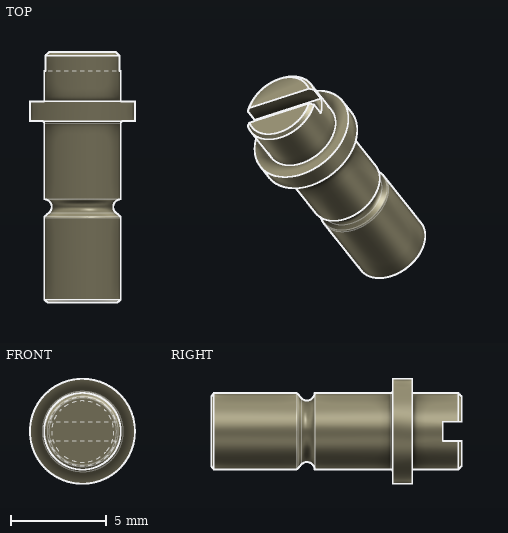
import cadquery as cq
import math

length = 13.1
front_y = -length / 2
rear_y = length / 2
shaft_radius = 2.0

flange_radius = 2.75
flange_thickness = 1.03
head_length = 2.58
flange_rear_y = rear_y - head_length
flange_front_y = flange_rear_y - flange_thickness
flange_fillet = 0.1

head_chamfer = 0.2
tip_cone_length = 0.15
tip_cone_depth = 0.2
tip_edge_fillet = 0.16

groove_radius = 0.39
groove_center_y = -1.55
front_wall_angle = math.radians(50)
groove_rear_y = groove_center_y + groove_radius
rear_lip_fillet = 0.04
front_lip_fillet = 0.12

slot_width = 1.0
slot_depth = 1.0


def make_body():
    """Revolve the shaft with its conical tip and flange about the Y axis."""
    return (
        cq.Workplane("XY")
        .moveTo(0, front_y)
        .lineTo(shaft_radius - tip_cone_depth, front_y)
        .lineTo(shaft_radius, front_y + tip_cone_length)
        .lineTo(shaft_radius, flange_front_y)
        .lineTo(flange_radius, flange_front_y)
        .lineTo(flange_radius, flange_rear_y)
        .lineTo(shaft_radius, flange_rear_y)
        .lineTo(shaft_radius, rear_y)
        .lineTo(0, rear_y)
        .close()
        .revolve(360, (0, 0), (0, 1))
    )


def edge_at(radius, y):
    """Select the circular edge of the given radius at position y along the axis."""
    margin = 0.007
    return cq.selectors.BoxSelector(
        (-radius - margin, y - margin, -radius - margin),
        (radius + margin, y + margin, radius + margin),
        boundingbox=True,
    )


def make_groove():
    """Ring whose arc bottom runs tangent into the conical front wall, and its front edge."""
    tangent_radius = shaft_radius - groove_radius * math.cos(front_wall_angle)
    tangent_y = groove_center_y - groove_radius * math.sin(front_wall_angle)
    front_edge_y = tangent_y - (shaft_radius - tangent_radius) / math.tan(front_wall_angle)
    cutter = (
        cq.Workplane("XY")
        .moveTo(shaft_radius, groove_rear_y)
        .threePointArc(
            (shaft_radius - groove_radius, groove_center_y),
            (tangent_radius, tangent_y),
        )
        .lineTo(shaft_radius, front_edge_y)
        .close()
        .revolve(360, (0, 0), (0, 1))
    )
    return cutter, front_edge_y


def make_slot():
    """Block that cuts the slot along X into the rear face."""
    return cq.Workplane("XY").box(2 * flange_radius, slot_depth, slot_width).translate(
        (0, rear_y - slot_depth / 2, 0)
    )


body = make_body()
body = body.edges(edge_at(shaft_radius, flange_front_y)).fillet(flange_fillet)
body = body.edges(edge_at(shaft_radius - tip_cone_depth, front_y)).fillet(tip_edge_fillet)
body = body.edges(edge_at(shaft_radius, rear_y)).chamfer(head_chamfer)

groove, groove_front_y = make_groove()
body = body.cut(groove)
body = body.edges(edge_at(shaft_radius, groove_rear_y)).fillet(rear_lip_fillet)
body = body.edges(edge_at(shaft_radius, groove_front_y)).fillet(front_lip_fillet)

result = body.cut(make_slot())